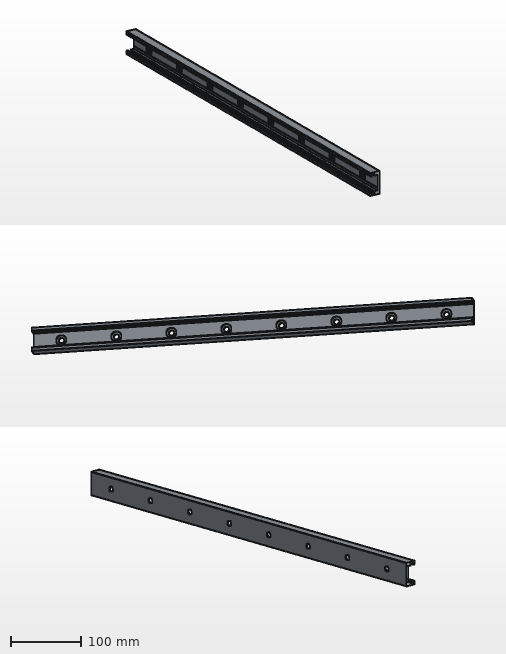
import cadquery as cq

LENGTH = 640.0
DEPTH = 16.5
HEIGHT = 35.0

WEB_THICKNESS = 4.0
FLANGE_THICKNESS = 6.0
GROOVE_THICKNESS = 3.0
LIP_HEIGHT = 6.0
LIP_WIDTH = 2.5
LEDGE_WIDTH = 5.0
CORNER_CHAMFER = 0.5
LIP_CHAMFER = 1.0

HOLE_COUNT = 8
HOLE_PITCH = LENGTH / HOLE_COUNT
HOLE_DIAMETER = 8.0
COUNTERBORE_DIAMETER = 15.0
COUNTERBORE_DEPTH = WEB_THICKNESS / 2

MARK_Z = -8.0
MARK_WIDTH = 0.5
MARK_DEPTH = 0.1


def half_section():
    """Upper half of the C section, with the web on the +Y side, as (y, z) points."""
    back = DEPTH / 2
    front = -back
    top = HEIGHT / 2
    web_face = back - WEB_THICKNESS
    ledge_end = web_face - LEDGE_WIDTH
    lip_back = front + LIP_WIDTH
    return [
        (back, 0),
        (back, top - CORNER_CHAMFER),
        (back - CORNER_CHAMFER, top),
        (front + CORNER_CHAMFER, top),
        (front, top - CORNER_CHAMFER),
        (front, top - LIP_HEIGHT + LIP_CHAMFER),
        (front + LIP_CHAMFER, top - LIP_HEIGHT),
        (lip_back, top - LIP_HEIGHT),
        (lip_back, top - GROOVE_THICKNESS),
        (ledge_end, top - GROOVE_THICKNESS),
        (ledge_end, top - FLANGE_THICKNESS),
        (web_face, top - FLANGE_THICKNESS),
        (web_face, 0),
    ]


def channel():
    """C-shaped rail, symmetric about the XY plane and centred along X."""
    upper = half_section()
    lower = [(y, -z) for y, z in reversed(upper[1:-1])]
    return cq.Workplane("YZ").polyline(upper + lower).close().extrude(LENGTH / 2, both=True)


def drill_web(rail):
    """Row of evenly spaced holes, counterbored from the inside of the channel."""
    web_face = DEPTH / 2 - WEB_THICKNESS
    return (
        rail.copyWorkplane(cq.Workplane("XZ", origin=(0, web_face, 0)))
        .rarray(HOLE_PITCH, 6.5, HOLE_COUNT, 1)
        .cboreHole(HOLE_DIAMETER, COUNTERBORE_DIAMETER, COUNTERBORE_DEPTH, depth=WEB_THICKNESS)
    )


def marking_groove():
    """V-shaped cutter running the full length of the web face."""
    web_face = DEPTH / 2 - WEB_THICKNESS
    outline = [
        (web_face, MARK_Z - MARK_WIDTH / 2),
        (web_face + MARK_DEPTH, MARK_Z),
        (web_face, MARK_Z + MARK_WIDTH / 2),
    ]
    return cq.Workplane("YZ").polyline(outline).close().extrude(LENGTH / 2, both=True)


result = drill_web(channel()).cut(marking_groove())